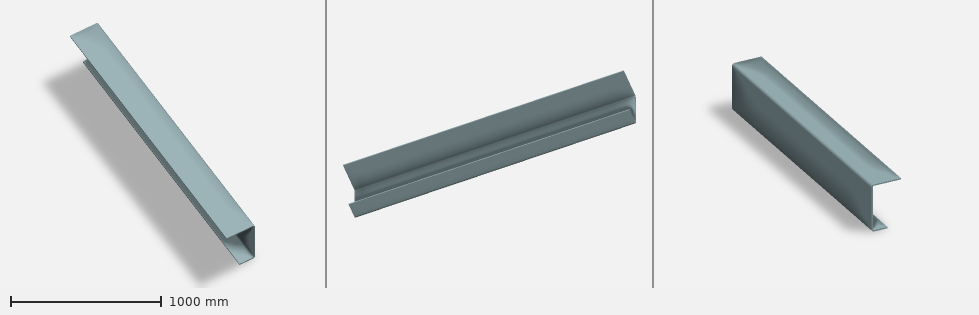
import cadquery as cq

length = 2000.0
height = 350.0
top_flange = 220.0
bottom_flange = 120.0
thickness = 10.0
inner_radius = 10.0
outer_radius = inner_radius + thickness

web_y = top_flange / 2
bottom_z = -height / 2
top_z = height / 2

outline = (
    cq.Workplane("YZ", origin=(-length / 2, 0, 0))
    .moveTo(web_y - top_flange, top_z)
    .lineTo(web_y, top_z)
    .lineTo(web_y, bottom_z)
    .lineTo(web_y - bottom_flange, bottom_z)
    .lineTo(web_y - bottom_flange, bottom_z + thickness)
    .lineTo(web_y - thickness, bottom_z + thickness)
    .lineTo(web_y - thickness, top_z - thickness)
    .lineTo(web_y - top_flange, top_z - thickness)
    .close()
)
channel = outline.extrude(length)


def round_bends(body, corner_y, inset, radius):
    """Round the two lengthwise bend edges at a given Y and inset from top and bottom."""
    reach = height / 2 - inset
    for corner_z in (-reach, reach):
        edge = cq.selectors.NearestToPointSelector((0, corner_y, corner_z))
        body = body.edges("|X").edges(edge).fillet(radius)
    return body


channel = round_bends(channel, web_y, 0, outer_radius)
result = round_bends(channel, web_y - thickness, thickness, inner_radius)